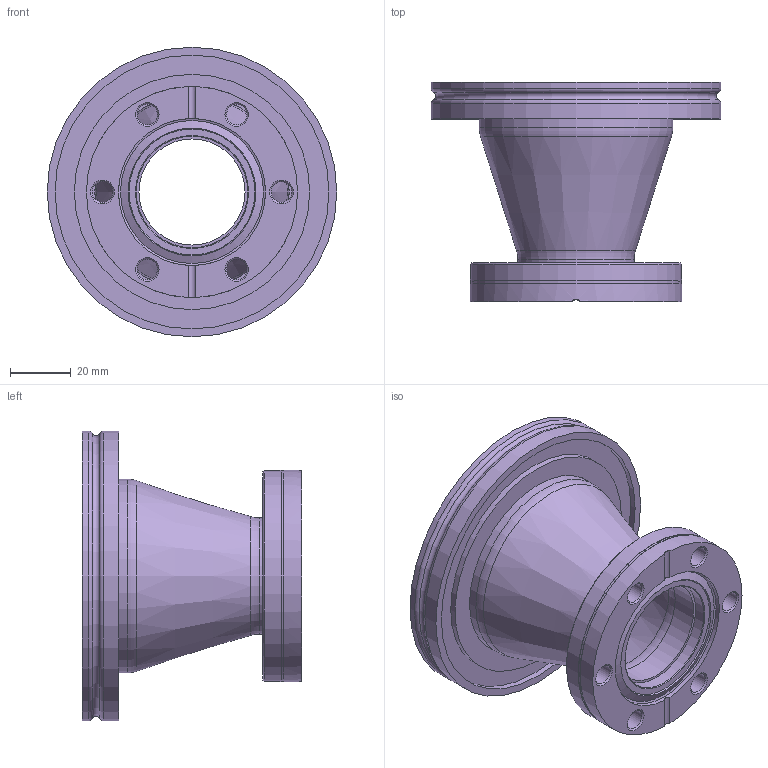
import cadquery as cq
import math

OVERALL_LENGTH = 71.91

WALL = 1.65
SMALL_TUBE_RADIUS = 38.1 / 2
LARGE_TUBE_RADIUS = 63.5 / 2
BEND_RADIUS = 10.0
SMALL_BEND_START = 13.75
LARGE_BEND_END = 57.1
SMALL_TUBE_END = 5.2
LARGE_TUBE_END = 65.9

KNIFE_FLANGE_RADIUS = 69.3 / 2
KNIFE_FLANGE_THICKNESS = 12.7
KNIFE_BORE_RADIUS = 36.6 / 2
SMALL_SOCKET_RADIUS = 38.35 / 2
GASKET_RECESS_RADIUS = 48.26 / 2
RECESS_FOOT_RADIUS = 23.45
RECESS_WALL_DEPTH = 1.5
RECESS_FOOT_DEPTH = 1.75
KNIFE_TIP_RADIUS = 20.95
KNIFE_INNER_FOOT_RADIUS = 20.65
KNIFE_TIP_DEPTH = 0.65
INNER_LAND_DEPTH = 1.1
BORE_CHAMFER = 0.25
BACK_EDGE_CHAMFER = 0.5
RIM_GROOVE_START = 5.95
RIM_GROOVE_WIDTH = 0.8
RIM_GROOVE_DEPTH = 0.1
BOLT_COUNT = 6
BOLT_CIRCLE_RADIUS = 58.7 / 2
BOLT_HOLE_RADIUS = 6.73 / 2
BOLT_HOLE_CHAMFER = 0.5
LEAK_SLOT_WIDTH = 2.4
LEAK_SLOT_DEPTH = 0.7

CLAMP_FLANGE_RADIUS = 95.0 / 2
CLAMP_FLANGE_THICKNESS = 12.0
LARGE_SOCKET_RADIUS = 63.8 / 2
FACE_GROOVE_OUTER_RADIUS = 89.9 / 2
FACE_GROOVE_INNER_RADIUS = 77.2 / 2
FACE_GROOVE_DEPTH = 2.0
RIM_LIP = 2.05
CLAMP_ROUND_WIDTH = 1.3
CLAMP_HOLLOW_WIDTH = 2.25
CLAMP_GROOVE_ANGLE = math.radians(65)


def revolve_about_y(profile):
    return profile.close().revolve(360, (0, 0, 0), (0, 1, 0))


def make_reducer():
    """Tube of constant wall thickness whose cone is tangent to a bend at each end."""
    span = LARGE_BEND_END - SMALL_BEND_START
    rise = LARGE_TUBE_RADIUS - SMALL_TUBE_RADIUS
    bend_sum = 2 * BEND_RADIUS
    lever = 2 * bend_sum - rise
    half_tangent = (span - math.sqrt(span**2 - rise * lever)) / lever
    cone_angle = 2 * math.atan(half_tangent)

    large_centre = LARGE_TUBE_RADIUS - BEND_RADIUS
    small_centre = SMALL_TUBE_RADIUS + BEND_RADIUS

    def large_bend(radius, angle):
        return (large_centre + radius * math.cos(angle), LARGE_BEND_END - radius * math.sin(angle))

    def small_bend(radius, angle):
        return (small_centre - radius * math.cos(angle), SMALL_BEND_START + radius * math.sin(angle))

    large_inside = BEND_RADIUS - WALL
    small_inside = BEND_RADIUS + WALL
    mid_angle = cone_angle / 2
    return revolve_about_y(
        cq.Workplane("XY")
        .moveTo(SMALL_TUBE_RADIUS, SMALL_TUBE_END)
        .lineTo(*small_bend(BEND_RADIUS, 0))
        .threePointArc(small_bend(BEND_RADIUS, mid_angle), small_bend(BEND_RADIUS, cone_angle))
        .lineTo(*large_bend(BEND_RADIUS, cone_angle))
        .threePointArc(large_bend(BEND_RADIUS, mid_angle), large_bend(BEND_RADIUS, 0))
        .lineTo(LARGE_TUBE_RADIUS, LARGE_TUBE_END)
        .lineTo(LARGE_TUBE_RADIUS - WALL, LARGE_TUBE_END)
        .lineTo(*large_bend(large_inside, 0))
        .threePointArc(large_bend(large_inside, mid_angle), large_bend(large_inside, cone_angle))
        .lineTo(*small_bend(small_inside, cone_angle))
        .threePointArc(small_bend(small_inside, mid_angle), small_bend(small_inside, 0))
        .lineTo(SMALL_TUBE_RADIUS - WALL, SMALL_TUBE_END)
    )


def make_knife_flange():
    """Bolted flange with a knife-edge gasket recess and a socket for the small tube end."""
    rim_groove_end = RIM_GROOVE_START + RIM_GROOVE_WIDTH
    rim_groove_radius = KNIFE_FLANGE_RADIUS - RIM_GROOVE_DEPTH
    flange = revolve_about_y(
        cq.Workplane("XY")
        .moveTo(GASKET_RECESS_RADIUS, 0)
        .lineTo(KNIFE_FLANGE_RADIUS, 0)
        .lineTo(KNIFE_FLANGE_RADIUS, RIM_GROOVE_START)
        .lineTo(rim_groove_radius, RIM_GROOVE_START)
        .lineTo(rim_groove_radius, rim_groove_end)
        .lineTo(KNIFE_FLANGE_RADIUS, rim_groove_end)
        .lineTo(KNIFE_FLANGE_RADIUS, KNIFE_FLANGE_THICKNESS - BACK_EDGE_CHAMFER)
        .lineTo(KNIFE_FLANGE_RADIUS - BACK_EDGE_CHAMFER, KNIFE_FLANGE_THICKNESS)
        .lineTo(SMALL_SOCKET_RADIUS, KNIFE_FLANGE_THICKNESS)
        .lineTo(SMALL_SOCKET_RADIUS, SMALL_TUBE_END)
        .lineTo(KNIFE_BORE_RADIUS, SMALL_TUBE_END)
        .lineTo(KNIFE_BORE_RADIUS, INNER_LAND_DEPTH + BORE_CHAMFER)
        .lineTo(KNIFE_BORE_RADIUS + BORE_CHAMFER, INNER_LAND_DEPTH)
        .lineTo(KNIFE_INNER_FOOT_RADIUS, INNER_LAND_DEPTH)
        .lineTo(KNIFE_TIP_RADIUS, KNIFE_TIP_DEPTH)
        .lineTo(RECESS_FOOT_RADIUS, RECESS_FOOT_DEPTH)
        .lineTo(GASKET_RECESS_RADIUS, RECESS_WALL_DEPTH)
    )
    mouth_radius = BOLT_HOLE_RADIUS + BOLT_HOLE_CHAMFER
    hole = revolve_about_y(
        cq.Workplane("XY")
        .moveTo(0, 0)
        .lineTo(mouth_radius, 0)
        .lineTo(BOLT_HOLE_RADIUS, BOLT_HOLE_CHAMFER)
        .lineTo(BOLT_HOLE_RADIUS, KNIFE_FLANGE_THICKNESS)
        .lineTo(0, KNIFE_FLANGE_THICKNESS)
    ).translate((BOLT_CIRCLE_RADIUS, 0, 0))
    for index in range(BOLT_COUNT):
        flange = flange.cut(hole.rotate((0, 0, 0), (0, 1, 0), index * 360 / BOLT_COUNT))
    slot_radius = ((LEAK_SLOT_WIDTH / 2) ** 2 + LEAK_SLOT_DEPTH**2) / (2 * LEAK_SLOT_DEPTH)
    slot_length = KNIFE_FLANGE_RADIUS - RECESS_FOOT_RADIUS
    for side in (1, -1):
        slot = (
            cq.Workplane("XY", origin=(0, LEAK_SLOT_DEPTH - slot_radius, side * RECESS_FOOT_RADIUS))
            .circle(slot_radius)
            .extrude(side * slot_length)
        )
        flange = flange.cut(slot)
    return flange


def make_clamp_flange():
    """Clamp flange with a rounded rim groove, a face groove and a socket for the large tube end."""
    back = OVERALL_LENGTH
    front = back - CLAMP_FLANGE_THICKNESS
    rim = CLAMP_FLANGE_RADIUS
    angle = CLAMP_GROOVE_ANGLE
    half_hollow = CLAMP_HOLLOW_WIDTH / 2
    half_groove = half_hollow + CLAMP_ROUND_WIDTH
    round_radius = CLAMP_ROUND_WIDTH / math.sin(angle)
    hollow_radius = half_hollow / math.sin(angle)
    groove_centre = back - RIM_LIP - half_groove
    groove_depth = (round_radius + hollow_radius) * (1 - math.cos(angle))
    shoulder_drop = round_radius * (1 - math.cos(angle))
    mid_drop = round_radius * (1 - math.cos(angle / 2))
    mid_offset = half_groove - round_radius * math.sin(angle / 2)
    return revolve_about_y(
        cq.Workplane("XY")
        .moveTo(LARGE_SOCKET_RADIUS, front)
        .lineTo(LARGE_SOCKET_RADIUS, LARGE_TUBE_END)
        .lineTo(LARGE_TUBE_RADIUS - WALL, LARGE_TUBE_END)
        .lineTo(LARGE_TUBE_RADIUS - WALL, back)
        .lineTo(rim, back)
        .lineTo(rim, groove_centre + half_groove)
        .threePointArc(
            (rim - mid_drop, groove_centre + mid_offset),
            (rim - shoulder_drop, groove_centre + half_hollow),
        )
        .threePointArc(
            (rim - groove_depth, groove_centre),
            (rim - shoulder_drop, groove_centre - half_hollow),
        )
        .threePointArc(
            (rim - mid_drop, groove_centre - mid_offset),
            (rim, groove_centre - half_groove),
        )
        .lineTo(rim, front)
        .lineTo(FACE_GROOVE_OUTER_RADIUS, front)
        .lineTo(FACE_GROOVE_OUTER_RADIUS, front + FACE_GROOVE_DEPTH)
        .lineTo(FACE_GROOVE_INNER_RADIUS, front + FACE_GROOVE_DEPTH)
        .lineTo(FACE_GROOVE_INNER_RADIUS, front)
    )


reducer = make_reducer()
knife_flange = make_knife_flange()
clamp_flange = make_clamp_flange()
result = cq.Compound.makeCompound([reducer.val(), knife_flange.val(), clamp_flange.val()])